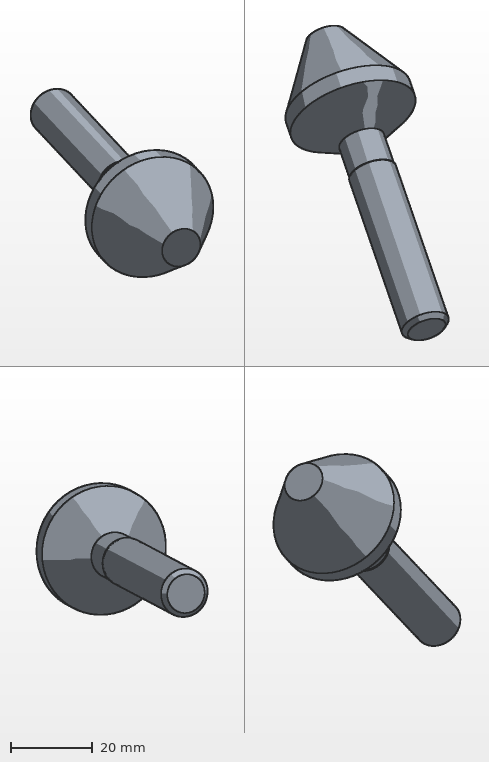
import cadquery as cq
import math

total_length = 86.0
head_diameter = 32.0
shank_diameter = 12.0
neck_diameter = 11.5
shank_chamfer = 1.2

neck_start = 46.0
head_start = 55.3
rim_start = 62.6
rim_end = 67.0

front_half_angle = math.radians(30)

head_radius = head_diameter / 2
shank_radius = shank_diameter / 2
neck_radius = neck_diameter / 2
tip_radius = head_radius - (total_length - rim_end) * math.tan(front_half_angle)

half_profile = [
    (0, 0),
    (0, shank_radius - shank_chamfer),
    (shank_chamfer, shank_radius),
    (neck_start, shank_radius),
    (neck_start, neck_radius),
    (head_start, neck_radius),
    (rim_start, head_radius),
    (rim_end, head_radius),
    (total_length, tip_radius),
    (total_length, 0),
]

result = (
    cq.Workplane("XY")
    .polyline(half_profile)
    .close()
    .revolve(360, (0, 0, 0), (1, 0, 0))
)